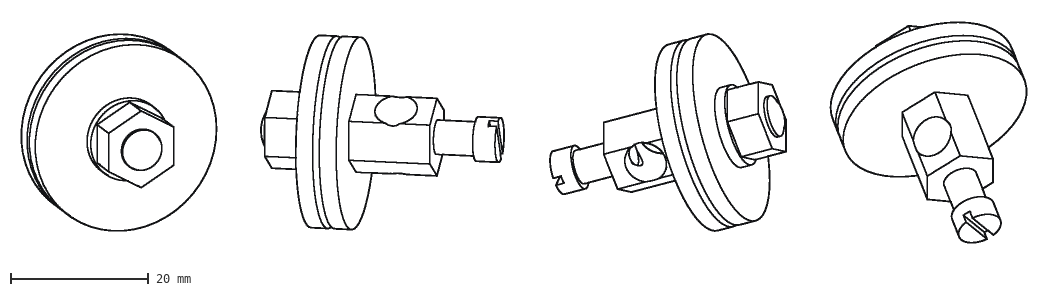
import cadquery as cq
import math

overall_length = 35.3
head_length = 3.32
post_start = 9.3
post_length = 12.0
disc_thickness = 2.5
disc_gap = 1.0
washer_thickness = 1.6
nut_length = 4.9
dome_height = 1.02

post_end = post_start + post_length
second_disc_start = post_end + disc_thickness + disc_gap
washer_start = second_disc_start + disc_thickness
nut_start = washer_start + washer_thickness
dome_start = overall_length - dome_height

disc_diameter = 28.0
washer_diameter = 12.0
hex_across_flats = 10.03
hex_across_corners = hex_across_flats / math.cos(math.pi / 6)
stud_diameter = 6.07
head_diameter = 6.5
shank_diameter = 5.0

slot_width = 1.13
slot_depth = 1.27
cross_hole_diameter = 6.18
cross_hole_x = 14.83
feature_tilt = 30.0

point_diameter = 4.02
point_start = 10.6
screw_length = cross_hole_x - cross_hole_diameter / 2


def section_at(x):
    """Workplane across the common axis at the given X position."""
    return cq.Workplane("YZ", origin=(x, 0, 0))


def rod(x, length, diameter):
    return section_at(x).circle(diameter / 2).extrude(length)


def hex_bar(x, length):
    """Hexagonal bar with two corners pointing along Z."""
    bar = section_at(x).polygon(6, hex_across_corners).extrude(length)
    return bar.rotate((0, 0, 0), (1, 0, 0), 90)


def tilted(body):
    return body.rotate((0, 0, 0), (1, 0, 0), -feature_tilt)


def make_screw():
    """Slotted cylindrical-head clamping screw."""
    head = rod(0, head_length, head_diameter)
    shank = rod(head_length, point_start - head_length, shank_diameter)
    point = rod(point_start, screw_length - point_start, point_diameter)
    slot = cq.Workplane("XY").box(2 * slot_depth, slot_width, 2 * head_diameter)
    return head.union(shank).union(point).cut(tilted(slot))


def make_stud():
    """Domed stud at the rear of the post."""
    radius = stud_diameter / 2
    sphere_radius = (radius**2 + dome_height**2) / (2 * dome_height)
    center_x = overall_length - sphere_radius
    mid_angle = math.asin(radius / sphere_radius) / 2
    mid_point = (center_x + sphere_radius * math.cos(mid_angle), sphere_radius * math.sin(mid_angle))
    profile = (
        cq.Workplane("XY")
        .moveTo(post_end, 0)
        .lineTo(post_end, radius)
        .lineTo(dome_start, radius)
        .threePointArc(mid_point, (overall_length, 0))
        .close()
    )
    return profile.revolve(360, (0, 0, 0), (1, 0, 0))


def make_post():
    """Hexagonal post with its stud, a stepped screw bore and a cross hole."""
    shank_bore = rod(post_start, point_start - post_start, shank_diameter)
    point_bore = rod(point_start, cross_hole_x - point_start, point_diameter)
    cross_hole = (
        cq.Workplane("XY", origin=(cross_hole_x, 0, -hex_across_corners))
        .circle(cross_hole_diameter / 2)
        .extrude(2 * hex_across_corners)
    )
    post = hex_bar(post_start, post_length).union(make_stud())
    return post.cut(shank_bore).cut(point_bore).cut(tilted(cross_hole))


def make_disc(x):
    return rod(x, disc_thickness, disc_diameter).cut(rod(x, disc_thickness, stud_diameter))


def make_washer():
    washer = rod(washer_start, washer_thickness, washer_diameter)
    return washer.cut(rod(washer_start, washer_thickness, stud_diameter))


def make_nut():
    return hex_bar(nut_start, nut_length).cut(rod(nut_start, nut_length, stud_diameter))


screw = make_screw()
post = make_post()
discs = [make_disc(x) for x in (post_end, second_disc_start)]
washer = make_washer()
nut = make_nut()

result = cq.Compound.makeCompound(
    [screw.val(), post.val(), *[disc.val() for disc in discs], washer.val(), nut.val()]
)